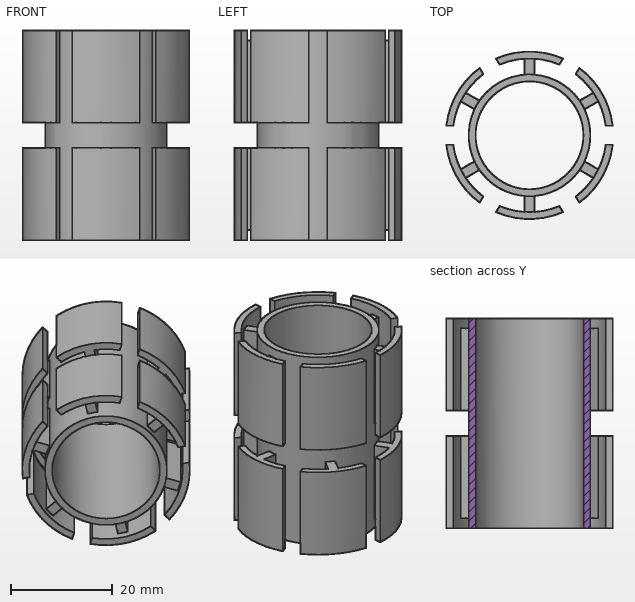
import cadquery as cq

tube_length = 41.3
tube_outer_diameter = 24.0
tube_bore_diameter = 21.2

pad_count = 6
pad_outer_diameter = 33.0
pad_thickness = 1.4
pad_inner_diameter = pad_outer_diameter - 2 * pad_thickness
pad_gap = 3.68
band_spacing = 4.95
band_height = (tube_length - band_spacing) / 2

rib_width = 2.0
rib_end_setback = 2.0
rib_height = band_height - rib_end_setback
rib_overlap = 0.4
rib_start = tube_outer_diameter / 2 - rib_overlap
rib_end = pad_inner_diameter / 2 + rib_overlap

pad_pitch = 360 / pad_count
first_pad_angle = pad_pitch / 2


def ring(outer_diameter, inner_diameter, height):
    """Hollow cylinder standing on Z = 0."""
    return cq.Workplane("XY").circle(outer_diameter / 2).circle(inner_diameter / 2).extrude(height)


def pad_band():
    """Ring of pads separated by parallel-sided gaps."""
    band = ring(pad_outer_diameter, pad_inner_diameter, band_height)
    gap_cutter = cq.Workplane("XY").box(
        pad_outer_diameter, pad_gap, band_height, centered=(False, True, False)
    )
    for i in range(pad_count):
        band = band.cut(gap_cutter.rotate((0, 0, 0), (0, 0, 1), i * pad_pitch))
    return band


def rib(angle):
    """Radial rib, set back from the lower end of its band."""
    return (
        cq.Workplane("XY", origin=(rib_start, 0, rib_end_setback))
        .box(rib_end - rib_start, rib_width, rib_height, centered=(False, True, False))
        .rotate((0, 0, 0), (0, 0, 1), angle)
    )


lower_band = pad_band()
for i in range(pad_count):
    lower_band = lower_band.union(rib(first_pad_angle + i * pad_pitch))
upper_band = lower_band.mirror("XY", (0, 0, tube_length / 2))

tube = ring(tube_outer_diameter, tube_bore_diameter, tube_length)
result = tube.union(lower_band).union(upper_band)